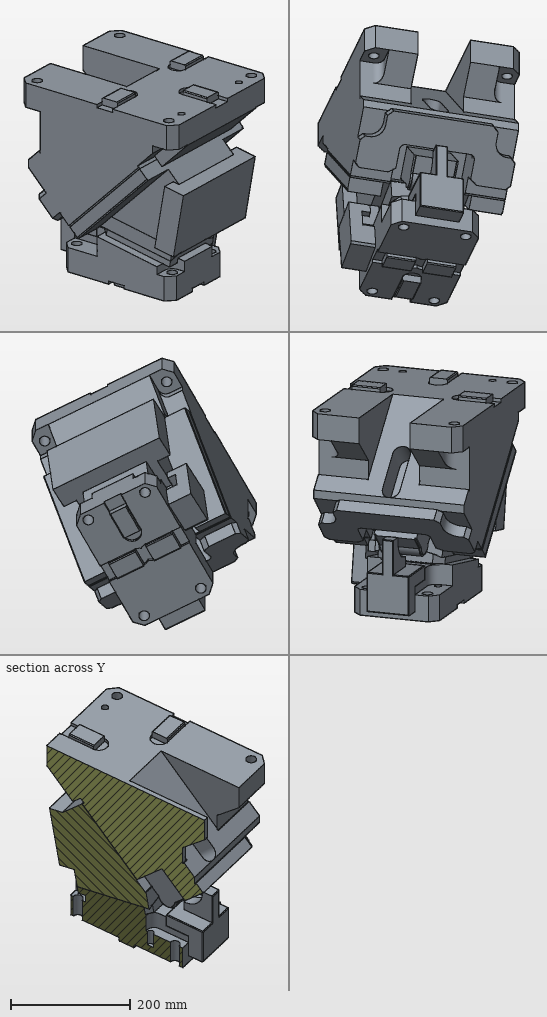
import cadquery as cq
import math


LENGTH = 325.0
WIDTH = 270.0
HEIGHT = 372.0
PLATE_THICKNESS = 45.0
CORNER_CHAMFER = 15.0
BOLT_DIAMETER = 18.0
DOWEL_DIAMETER = 12.0
WEB_FILLET = 15.0
FAR = 446.5

KEY_LENGTH = 50.2
KEY_STANDOUT = 7.5
KEY_WIDTH = 32.5
KEY_CHAMFER = 2.0
KEYWAY_DEPTH = 6.0
KEYWAY_CLEARANCE = 16.0

TOP = HEIGHT / 2 - KEY_STANDOUT
BOTTOM = -TOP
PLATE_UNDERSIDE = TOP - PLATE_THICKNESS

ROOT_HALF = math.sqrt(0.5)
TILT = math.radians(10)
SIDE = cq.Plane(origin=(0, 0, 0), xDir=(1, 0, 0), normal=(0, -1, 0))
SLIDE = cq.Plane(origin=(0, 0, 0), xDir=(1, 0, 1), normal=(0, -1, 0))
HEAD = cq.Plane(origin=(0, 0, 0), xDir=(math.cos(TILT), 0, -math.sin(TILT)), normal=(0, -1, 0))


def slope_point(along, above):
    """Return the global (x, z) of a point given in the slide frame."""
    return ((along - above) * ROOT_HALF, (along + above) * ROOT_HALF)


def profile(plane, points, half_width):
    """Extrude a closed polygon of a side frame by half_width to both sides of Y = 0."""
    return cq.Workplane(plane).polyline(points).close().extrude(half_width, both=True)


def block(plane, low, high, y_low, y_high):
    """Box between two corners of a side frame, reaching from y_low to y_high."""
    return (
        cq.Workplane(plane)
        .workplane(offset=-y_high)
        .moveTo((low[0] + high[0]) / 2, (low[1] + high[1]) / 2)
        .rect(high[0] - low[0], high[1] - low[1])
        .extrude(y_high - y_low)
    )


def centred_block(plane, low, high, half_width):
    return block(plane, low, high, -half_width, half_width)


def upright_holes(places, diameter, z_low, z_high):
    pattern = cq.Workplane().workplane(offset=z_low).pushPoints(places)
    return pattern.circle(diameter / 2).extrude(z_high - z_low)


def keyway(outer_end):
    """Round-ended keyway along +X, measured from the outer end of its key, sunk below Z = 0."""
    round_centre = outer_end - KEY_LENGTH - KEYWAY_CLEARANCE + KEY_WIDTH / 2
    channel = cq.Workplane().box(FAR, KEY_WIDTH, KEYWAY_DEPTH, centered=(False, True, False))
    end = cq.Workplane().circle(KEY_WIDTH / 2).extrude(KEYWAY_DEPTH)
    return channel.union(end).translate((round_centre, 0, -KEYWAY_DEPTH))


def key(outer_end):
    """Key along +X that fills its keyway to the floor and stands out above Z = 0."""
    height = KEYWAY_DEPTH + KEY_STANDOUT
    bar = cq.Workplane().box(KEY_LENGTH, KEY_WIDTH, height, centered=(True, True, False))
    bar = bar.edges("|X and >Z").chamfer(KEY_CHAMFER)
    return bar.translate((outer_end - KEY_LENGTH / 2, 0, -KEYWAY_DEPTH))


def add_keys(body, side_x, side_key_end, end_key_end, face_z, flip):
    """Set two keys along Y at side_x and one along X into the mounting face at face_z."""
    def placed(tool, x, angle):
        upright = tool.rotate((0, 0, 0), (1, 0, 0), 180 if flip else 0)
        return upright.rotate((0, 0, 0), (0, 0, 1), angle).translate((x, 0, face_z))

    places = [(side_x, 90, side_key_end), (side_x, -90, side_key_end), (0, 0, end_key_end)]
    for x, angle, outer_end in places:
        body = body.cut(placed(keyway(outer_end), x, angle))
    for x, angle, outer_end in places:
        body = body.union(placed(key(outer_end), x, angle))
    return body


FLANGE_START = -83.0
FLANGE_END = 123.5
FLANGE_TOP = -5.0
WEAR_INSET = 1.0

HOLDER_FACE = -2.0
RELIEF_FACE = 1.0
TRUNK_X = 117.5
TRUNK_TOE_X = -142.0
POCKET_FLOOR = 128.0
POCKET_HALF_WIDTH = 45.8
WORK_BACK = -83.5
WORK_FACE = -104.0
GUSSET_HALF_WIDTH = 96.5
GUSSET_DROP = 41.0
TAB_END = 132.8
TAB_FACE = -21.2
NOSE_SLOT_HALF_WIDTH = 65.0
NOSE_SLOT_TOP = 68.5
NOSE_SLOT_END = -37.0
HOLDER_BOLT_X = 138.0
HOLDER_BOLT_Y = 116.0
HOLDER_DOWEL_Y = 80.7
DOWEL_DEPTH = 29.8
SIDE_KEY_X = 18.0
SIDE_KEY_END = 120.5
END_KEY_END = 143.2


def holder_plate():
    plate = cq.Workplane().box(LENGTH, WIDTH, PLATE_THICKNESS, centered=(True, True, False))
    return plate.translate((0, 0, PLATE_UNDERSIDE)).edges("|Z").chamfer(CORNER_CHAMFER)


def holder_trunk():
    slope_shift = POCKET_FLOOR / ROOT_HALF
    relief_shift = RELIEF_FACE / ROOT_HALF
    points = [
        (-TRUNK_X, PLATE_UNDERSIDE),
        (-TRUNK_X, slope_shift - TRUNK_X),
        (TRUNK_TOE_X, slope_shift + TRUNK_TOE_X),
        (TRUNK_TOE_X, WORK_BACK / ROOT_HALF - TRUNK_TOE_X),
        slope_point(WORK_BACK, HOLDER_FACE),
        slope_point(FLANGE_END, HOLDER_FACE),
        slope_point(FLANGE_END, RELIEF_FACE),
        (TRUNK_X, TRUNK_X + relief_shift),
        (TRUNK_X, PLATE_UNDERSIDE),
    ]
    return profile(SIDE, points, WIDTH / 2)


def relief_grooves():
    """Small grooves where the toe slope meets the trunk wall, on both sides of the pocket."""
    wall_depth = 6.0
    corner_z = POCKET_FLOOR / ROOT_HALF - TRUNK_X
    points = [
        (-TRUNK_X, corner_z),
        (-TRUNK_X, corner_z - wall_depth),
        (-TRUNK_X - wall_depth / 2, corner_z - wall_depth / 2),
    ]
    return profile(SIDE, points, WIDTH / 2).cut(profile(SIDE, points, POCKET_HALF_WIDTH))


def wear_strip():
    """Thin strip the slide runs on, set in a little from the sides of the trunk."""
    low = (FLANGE_START + WEAR_INSET, FLANGE_TOP)
    return centred_block(SLIDE, low, (FLANGE_END, HOLDER_FACE), WIDTH / 2 - WEAR_INSET)


def gusset_plan(direction):
    """Upright prism of a gusset's plan, flared by fillets into the trunk wall."""
    wall = direction * TRUNK_X
    tangent = direction * (TRUNK_X + WEB_FILLET)
    end = direction * LENGTH / 2
    middle = direction * (TRUNK_X + WEB_FILLET * (1 - ROOT_HALF))
    flare = GUSSET_HALF_WIDTH + WEB_FILLET
    middle_y = GUSSET_HALF_WIDTH + WEB_FILLET * (1 - ROOT_HALF)
    return (
        cq.Workplane()
        .moveTo(0, -flare)
        .lineTo(wall, -flare)
        .threePointArc((middle, -middle_y), (tangent, -GUSSET_HALF_WIDTH))
        .lineTo(end, -GUSSET_HALF_WIDTH)
        .lineTo(end, GUSSET_HALF_WIDTH)
        .lineTo(tangent, GUSSET_HALF_WIDTH)
        .threePointArc((middle, middle_y), (wall, flare))
        .lineTo(0, flare)
        .close()
        .extrude(HEIGHT, both=True)
    )


def left_gusset():
    points = [
        (-LENGTH / 2, PLATE_UNDERSIDE),
        (-TRUNK_X, PLATE_UNDERSIDE - GUSSET_DROP),
        (0, PLATE_UNDERSIDE - GUSSET_DROP),
        (0, PLATE_UNDERSIDE),
    ]
    return profile(SIDE, points, WIDTH / 2).intersect(gusset_plan(-1))


def stop_tab():
    """Right gusset, which reaches below the sliding face and stops the slide."""
    flare = centred_block(SLIDE, (FLANGE_END, RELIEF_FACE), (FAR, FAR), WIDTH / 2)
    tab = centred_block(SLIDE, (TAB_END, TAB_FACE), (FAR, FAR), GUSSET_HALF_WIDTH)
    below_plate = centred_block(SIDE, (0, 0), (FAR, PLATE_UNDERSIDE), WIDTH / 2)
    return flare.union(tab).intersect(below_plate).intersect(gusset_plan(1))


def work_pad():
    """Pad on the low end of the trunk, its outline drawn across the slope."""
    top = 122.0
    bottom = 18.0
    ear_half_width = 96.5
    ear_chamfer = 9.0
    shoulder = 72.5
    ear_fillet = 23.8
    edge_chamfer = 7.5
    slot_mouth = 77.0
    slot_flare = 8.0
    slot_fillet = 9.3
    side = WIDTH / 2
    fillet_middle = ear_fillet * (1 - ROOT_HALF)
    face = cq.Plane(
        origin=(WORK_FACE * ROOT_HALF, 0, WORK_FACE * ROOT_HALF), xDir=(0, 1, 0), normal=(1, 0, 1)
    )
    half = (
        cq.Workplane(face)
        .moveTo(0, top)
        .lineTo(ear_half_width - ear_chamfer, top)
        .lineTo(ear_half_width, top - ear_chamfer)
        .lineTo(ear_half_width, shoulder + ear_fillet)
        .threePointArc(
            (ear_half_width + fillet_middle, shoulder + fillet_middle),
            (ear_half_width + ear_fillet, shoulder),
        )
        .lineTo(side - edge_chamfer, shoulder)
        .lineTo(side, shoulder - edge_chamfer)
        .lineTo(side, bottom + edge_chamfer)
        .lineTo(side - edge_chamfer, bottom)
        .lineTo(slot_mouth, bottom)
        .lineTo(NOSE_SLOT_HALF_WIDTH, bottom + slot_flare)
        .lineTo(NOSE_SLOT_HALF_WIDTH, NOSE_SLOT_TOP - slot_fillet)
        .radiusArc((NOSE_SLOT_HALF_WIDTH - slot_fillet, NOSE_SLOT_TOP), -slot_fillet)
        .lineTo(0, NOSE_SLOT_TOP)
        .close()
        .extrude(WORK_BACK - WORK_FACE)
    )
    return half.union(half.mirror("XZ"))


def nose():
    """Round-tipped nose in the slot at the low end of the holder: a core under a narrower cover."""
    cover_half_width = 35.5
    core_half_width = 38.5
    cover_thickness = 3.0
    cover = nose_layer(cover_half_width, 0)
    return cover.union(nose_layer(core_half_width, cover_thickness))


def nose_layer(half_width, inset):
    face = -107.5 + inset
    top = 53.5
    tip_radius = 19.0 - inset
    tip = (-93.0, 10.5)
    points = [
        (face, top),
        (face, tip[1]),
        (tip[0], tip[1]),
        (tip[0], HOLDER_FACE),
        (NOSE_SLOT_END, HOLDER_FACE),
        (NOSE_SLOT_END, top),
    ]
    tip_roll = cq.Workplane(SLIDE).center(*tip).circle(tip_radius).extrude(half_width, both=True)
    return profile(SLIDE, points, half_width).union(tip_roll)


def pocket_slot():
    """Long hole sunk square into the pocket floor."""
    length = 100.0
    width = 31.2
    depth = 46.5
    centre = slope_point(-23.0, POCKET_FLOOR)
    floor = cq.Plane(origin=(centre[0], 0, centre[1]), xDir=(1, 0, 1), normal=(-1, 0, 1))
    return cq.Workplane(floor).slot2D(length, width).extrude(-depth)


def make_holder():
    body = holder_plate().union(holder_trunk()).union(wear_strip()).union(left_gusset()).union(stop_tab())
    nose_slot = centred_block(
        SLIDE, (WORK_FACE, FLANGE_TOP), (NOSE_SLOT_END, NOSE_SLOT_TOP), NOSE_SLOT_HALF_WIDTH
    )
    body = body.cut(nose_slot).union(work_pad()).union(nose())
    pocket = centred_block(SLIDE, (-FAR, POCKET_FLOOR), (FAR, FAR), POCKET_HALF_WIDTH)
    body = body.cut(pocket).cut(pocket_slot()).cut(relief_grooves())
    bolts = [(x, y) for x in (-HOLDER_BOLT_X, HOLDER_BOLT_X) for y in (-HOLDER_BOLT_Y, HOLDER_BOLT_Y)]
    dowels = [(HOLDER_BOLT_X, y) for y in (-HOLDER_DOWEL_Y, HOLDER_DOWEL_Y)]
    body = body.cut(upright_holes(bolts, BOLT_DIAMETER, PLATE_UNDERSIDE, TOP))
    body = body.cut(upright_holes(dowels, DOWEL_DIAMETER, TOP - DOWEL_DEPTH, TOP))
    return add_keys(body, SIDE_KEY_X, SIDE_KEY_END, END_KEY_END, TOP, flip=False)


HEAD_START = -33.5
HEAD_END = 117.5
HEAD_HALF_WIDTH = 60.3
HEAD_FOOT = -103.0
HEAD_EDGE = -91.5
HEAD_CROWN = -81.0
RETURN_START = 22.5
HOOK_INNER_Y = 96.7
HOOK_LIP_Y = 82.0
HOOK_LIP = -80.0
FIT = 0.7


def crown():
    """Solid below the crowned top of the head."""
    rise = HEAD_CROWN - HEAD_EDGE
    radius = (HEAD_HALF_WIDTH**2 + rise**2) / (2 * rise)
    axis = cq.Plane(
        origin=(0, 0, 0), xDir=(0, 1, 0), normal=(math.cos(TILT), 0, -math.sin(TILT))
    )
    return cq.Workplane(axis).center(0, HEAD_CROWN - radius).circle(radius).extrude(FAR, both=True)


FLANGE_RIM = -26.5
FLANGE_UNDERSIDE = -29.0
CORE_HALF_WIDTH = 77.0
CORE_FOOT = -53.5


def make_slide():
    flange = centred_block(SLIDE, (FLANGE_START, FLANGE_RIM), (FLANGE_END, FLANGE_TOP), WIDTH / 2)
    lining = centred_block(
        SLIDE, (FLANGE_START, FLANGE_UNDERSIDE), (FLANGE_END, FLANGE_RIM), WIDTH / 2 - WEAR_INSET
    )
    mouth = centred_block(HEAD, (-FAR, -FAR), (HEAD_START, FAR), CORE_HALF_WIDTH)
    below_core = centred_block(HEAD, (-FAR, -FAR), (FAR, CORE_FOOT), CORE_HALF_WIDTH)
    below_holder = centred_block(SLIDE, (-FAR, -FAR), (FLANGE_END, FLANGE_TOP), WIDTH / 2)

    tail_start = 108.3
    tail_end = 148.0
    tail_top = 66.5
    tail_half_width = 101.0
    core = centred_block(HEAD, (HEAD_START, CORE_FOOT), (tail_end, FAR), CORE_HALF_WIDTH)
    tail = centred_block(HEAD, (tail_start, CORE_FOOT), (tail_end, tail_top), tail_half_width)
    saddle = centred_block(HEAD, (HEAD_START, HEAD_EDGE), (HEAD_END, CORE_FOOT), HEAD_HALF_WIDTH)
    saddle = saddle.cut(crown())
    return (
        flange.union(lining).cut(mouth).cut(below_core)
        .union(core.intersect(below_holder))
        .union(tail)
        .union(saddle)
        .union(return_foot())
    )


def return_foot():
    """Foot on the +Y side that runs inside the driver's return hook."""
    start = RETURN_START + 9.3
    end = start + 22.5
    inner_y = 63.2
    bottom = -100.0
    leg = block(HEAD, (start, bottom), (end, CORE_FOOT), inner_y, HOOK_LIP_Y - FIT)
    toe = block(HEAD, (start, bottom), (end, HOOK_LIP - FIT), inner_y, HOOK_INNER_Y - FIT)
    return leg.union(toe)


BASE_START = -117.5
BASE_END = 113.5
BASE_HALF_WIDTH = 76.3
BASE_TOP = BOTTOM + PLATE_THICKNESS
RISER_START = -42.0
PAD_TOP = -99.7
STOPPER_HALF_WIDTH = 38.0
PAD_HALF_WIDTH = 37.2
ARM_END = -71.8
ARM_UNDERSIDE = -119.0
DRIVER_BOLT_Y = 54.0
FRONT_BOLT_X = -101.0
REAR_BOLT_X = 98.5
DRIVER_DOWEL_X = -51.0
REAR_POCKET_RADIUS = 15.3
DRIVER_SIDE_KEY_X = -2.0
DRIVER_SIDE_KEY_END = 60.3
DRIVER_END_KEY_END = 93.7


def driver_base():
    base = centred_block(SIDE, (BASE_START, BOTTOM), (BASE_END, 0), BASE_HALF_WIDTH)
    base = base.edges("|Z").chamfer(CORNER_CHAMFER)
    above_slope = centred_block(HEAD, (-FAR, HEAD_FOOT), (FAR, FAR), BASE_HALF_WIDTH)
    front = centred_block(SIDE, (-FAR, BASE_TOP), (RISER_START, FAR), BASE_HALF_WIDTH)
    return base.cut(above_slope).cut(front)


def stopper_pad():
    """Raised pad under the stopper, filleted into the wall of the riser."""
    points = [
        (BASE_START, BASE_TOP),
        (BASE_START, ARM_UNDERSIDE),
        (ARM_END, ARM_UNDERSIDE),
        (ARM_END, PAD_TOP),
        (RISER_START, PAD_TOP),
        (RISER_START, BASE_TOP),
    ]
    flare = PAD_HALF_WIDTH + WEB_FILLET
    return profile(SIDE, points, flare).intersect(pad_plan(flare))


def pad_plan(flare):
    tangent = RISER_START - WEB_FILLET
    return (
        cq.Workplane()
        .workplane(offset=BOTTOM)
        .moveTo(BASE_START, -PAD_HALF_WIDTH)
        .lineTo(tangent, -PAD_HALF_WIDTH)
        .radiusArc((RISER_START, -flare), WEB_FILLET)
        .lineTo(RISER_START, flare)
        .radiusArc((tangent, PAD_HALF_WIDTH), WEB_FILLET)
        .lineTo(BASE_START, PAD_HALF_WIDTH)
        .close()
        .extrude(HEIGHT)
    )


def stopper():
    """Angle block over the front of the base, with an upright rib hollowed round the nose."""
    start = -147.5
    arm_top = -93.7
    foot = -162.5
    edge_chamfer = 1.5
    rib_half_width = 10.0
    rib_top = -34.0
    rib_end = -89.3
    hollow_radius = 37.2
    hollow_centre = (rib_end, -39.5)
    points = [
        (start, foot),
        (start, arm_top),
        (ARM_END, arm_top),
        (ARM_END, ARM_UNDERSIDE),
        (BASE_START, ARM_UNDERSIDE),
        (BASE_START, foot),
    ]
    angle = profile(SIDE, points, STOPPER_HALF_WIDTH).faces("<X or >Z").edges().chamfer(edge_chamfer)
    rib = centred_block(SIDE, (start, ARM_UNDERSIDE), (rib_end, rib_top), rib_half_width)
    rib = rib.faces("<X").edges(">Z or |Z").chamfer(edge_chamfer)
    hollow = cq.Workplane(SIDE).center(*hollow_centre).circle(hollow_radius)
    hollow = hollow.extrude(rib_half_width, both=True)
    return angle.union(rib.cut(hollow))


def driver_head():
    corner_chamfer = 16.5
    head = centred_block(HEAD, (HEAD_START, HEAD_FOOT), (HEAD_END, HEAD_CROWN), HEAD_HALF_WIDTH)
    head = head.faces("<X").edges("<Y or >Y").chamfer(corner_chamfer)
    return head.intersect(crown())


def rear_ridge():
    """Ridge between the rear bolts that carries the foot of the head to the end of the base."""
    top = -93.5
    half_width = DRIVER_BOLT_Y - REAR_POCKET_RADIUS
    ridge = centred_block(HEAD, (HEAD_END, HEAD_FOOT), (FAR, top), half_width)
    return ridge.intersect(centred_block(SIDE, (0, BOTTOM), (BASE_END, 0), half_width))


def return_hook():
    """Hook on the +Y side of the base that holds the slide's return foot down."""
    length = 63.2
    bottom = -157.0
    toe_chamfer = 3.7
    arm_top = -111.5
    top = -63.2
    outer_y = 119.0
    end = RETURN_START + length
    arm = block(HEAD, (RETURN_START, bottom), (end, arm_top), BASE_HALF_WIDTH, outer_y)
    arm = arm.edges("|Y and <X").chamfer(toe_chamfer)
    web = block(HEAD, (RETURN_START, arm_top), (end, top), HOOK_INNER_Y, outer_y)
    lip = block(HEAD, (RETURN_START, HOOK_LIP), (end, top), HOOK_LIP_Y, HOOK_INNER_Y)
    return arm.union(web).union(lip)


def rear_bolt_pockets():
    """Corner pockets that clear the rear bolt heads, open to the side and the end of the base."""
    inner_x = REAR_BOLT_X - REAR_POCKET_RADIUS
    inner_y = DRIVER_BOLT_Y - REAR_POCKET_RADIUS
    pocket = cq.Workplane().box(FAR, FAR, FAR, centered=False)
    pocket = pocket.edges("|Z and <X and <Y").fillet(REAR_POCKET_RADIUS)
    pocket = pocket.translate((inner_x, inner_y, BASE_TOP))
    return pocket.union(pocket.mirror("XZ"))


def make_driver():
    body = driver_base().cut(rear_bolt_pockets())
    body = body.union(stopper_pad()).union(stopper()).union(driver_head())
    body = body.union(rear_ridge()).union(return_hook())
    bolts = [(x, y) for x in (FRONT_BOLT_X, REAR_BOLT_X) for y in (-DRIVER_BOLT_Y, DRIVER_BOLT_Y)]
    dowels = [(DRIVER_DOWEL_X, y) for y in (-DRIVER_BOLT_Y, DRIVER_BOLT_Y)]
    body = body.cut(upright_holes(bolts, BOLT_DIAMETER, BOTTOM, BASE_TOP))
    body = body.cut(upright_holes(dowels, DOWEL_DIAMETER, BASE_TOP - DOWEL_DEPTH, BASE_TOP))
    return add_keys(
        body, DRIVER_SIDE_KEY_X, DRIVER_SIDE_KEY_END, DRIVER_END_KEY_END, BOTTOM, flip=True
    )


holder = make_holder().solids()
slide = make_slide().solids()
driver = make_driver().solids()
result = cq.Compound.makeCompound([holder.val(), slide.val(), driver.val()])